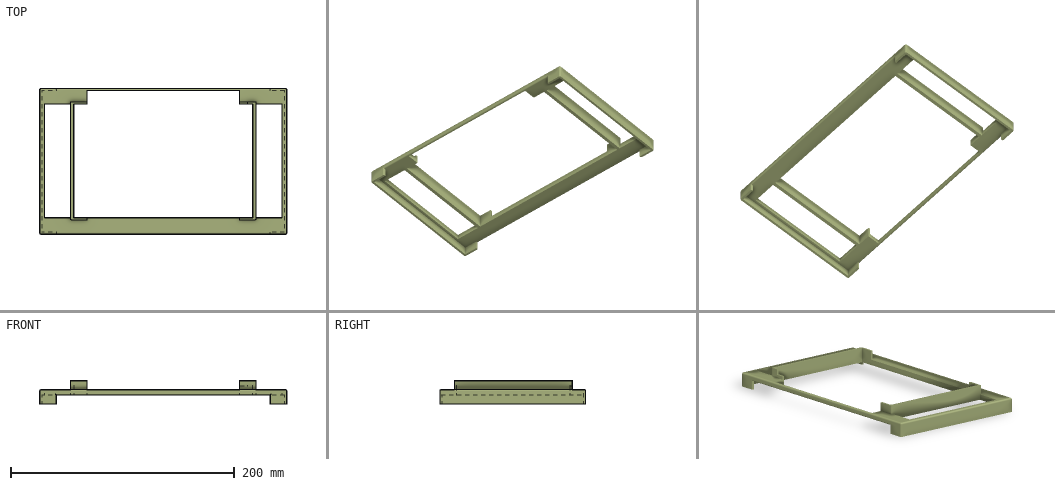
import cadquery as cq

frame_length = 221.0
frame_width = 130.5
frame_height = 13.0
total_height = 21.0
wall = 2.0
plate_thickness = 5.0
outer_fillet = 1.5
cavity_height = frame_height - plate_thickness

side_rail = 4.5
front_rail = 15.0
back_rail = 14.0
opening_length = frame_length - 2 * side_rail
opening_front = -frame_width / 2 + front_rail
opening_back = frame_width / 2 - back_rail

foot_length = 15.0
gap_length = frame_length - 2 * foot_length
gap_fillet = 1.0

clip_span = 166.0
bar_thickness = 3.0
arm_length = 15.0
arm_overlap = 2.0
clip_fillet = 1.0
clip_front = opening_front - arm_overlap
clip_back = opening_back + arm_overlap
back_cutout_length = clip_span - 2 * arm_length

step_length = arm_length / 2
step_height = 3.0


def box(x_min, x_max, y_min, y_max, z_min, z_max):
    """Axis-aligned box given by its limits."""
    size = (x_max - x_min, y_max - y_min, z_max - z_min)
    return cq.Workplane("XY").box(*size, centered=False).translate((x_min, y_min, z_min))


def centred_box(length, y_min, y_max, z_min, z_max):
    """Box that is symmetric about X = 0."""
    return box(-length / 2, length / 2, y_min, y_max, z_min, z_max)


def make_shell():
    """Rounded plate with a thin skirt wall hanging below it."""
    half_width = frame_width / 2
    body = centred_box(frame_length, -half_width, half_width, 0, frame_height)
    body = body.edges("|Z or >Z").fillet(outer_fillet)
    inner_half = half_width - wall
    cavity = centred_box(frame_length - 2 * wall, -inner_half, inner_half, 0, cavity_height)
    return body.cut(cavity)


def gap_cutter(side):
    """Gap through the front (side = -1) or back (side = 1) wall, flared to round its outer edges."""
    outer_y = side * frame_width / 2
    inner_y = side * (frame_width / 2 - wall)
    y_min, y_max = sorted((inner_y, outer_y))
    cutter = centred_box(gap_length, y_min, y_max, 0, cavity_height)
    flare_y = outer_y - side * gap_fillet
    flare_min, flare_max = sorted((flare_y, outer_y))
    flare = centred_box(
        gap_length + 2 * gap_fillet, flare_min, flare_max, 0, cavity_height + gap_fillet
    )
    for end in (-1, 1):
        post = (
            cq.Workplane("XY")
            .center(end * (gap_length / 2 + gap_fillet), flare_y)
            .circle(gap_fillet)
            .extrude(cavity_height + gap_fillet)
        )
        flare = flare.cut(post)
    lintel = (
        cq.Workplane("YZ")
        .center(flare_y, cavity_height + gap_fillet)
        .circle(gap_fillet)
        .extrude(gap_length / 2 + gap_fillet, both=True)
    )
    return cutter.union(flare.cut(lintel))


def make_clip_block():
    """Solid block on the +X side that the openings hollow out into a clip."""
    outer_x = clip_span / 2
    arm_x = outer_x - arm_length
    block = box(arm_x, outer_x, clip_front, clip_back, cavity_height, total_height)
    return block.edges("|Z and >X").fillet(clip_fillet)


def make_openings():
    """Cutter for the centre opening, the slots outside the clips and the cutout in the back rail."""
    centre_length = clip_span - 2 * bar_thickness
    cutter = centred_box(centre_length, opening_front, opening_back, 0, total_height)
    slot = box(clip_span / 2, opening_length / 2, opening_front, opening_back, 0, frame_height)
    cutout_back = frame_width / 2 - wall
    cutout = centred_box(back_cutout_length, opening_back, cutout_back, 0, frame_height)
    return cutter.union(slot).union(slot.mirror("YZ")).union(cutout)


def make_step():
    """Volume removed above the lowered end of the back arm."""
    arm_x = clip_span / 2 - arm_length
    step_top = frame_height + step_height
    return box(arm_x, arm_x + step_length, opening_back, clip_back, step_top, total_height)


result = make_shell()
for wall_side in (-1, 1):
    result = result.cut(gap_cutter(wall_side))
right_block = make_clip_block()
left_block = right_block.mirror("YZ")
result = result.union(left_block).union(right_block.cut(make_step()))
result = result.cut(make_openings())